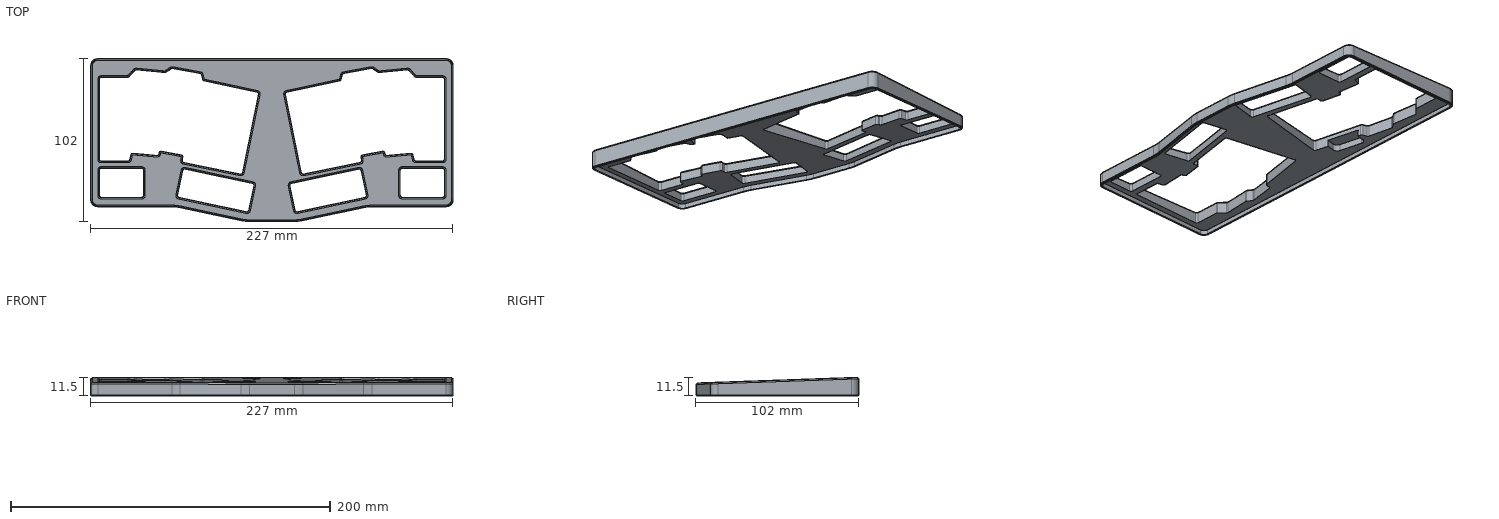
import cadquery as cq
import math

length = 227.0
depth = 102.0
overall_height = 11.5
top_slope = 2.0
back_y = depth / 2
front_y = -depth / 2

wing_front_y = -41.8
bend_angle = 12.0
nose_half_length = 16.8
bend_half_length = nose_half_length + (wing_front_y - front_y) / math.tan(math.radians(bend_angle))
bend_radius = 25.0
corner_radius = 4.5

top_chamfer = 1.0
bottom_chamfer = 0.5
opening_corner_radius = 1.25

slope_rise = math.tan(math.radians(top_slope))
back_height = overall_height + top_chamfer * slope_rise

side_wall_x = -108.0

main_opening = [
    (side_wall_x, 39.3),
    (-90.0, 39.3),
    (-85.4, 44.0),
    (-66.7, 42.2),
    (-62.7, 45.0),
    (-44.3, 41.5),
    (-43.1, 37.2),
    (-8.2, 29.7),
    (-18.6, -21.5),
    (-56.3, -13.8),
    (-55.6, -9.5),
    (-70.4, -6.8),
    (-71.0, -9.8),
    (-88.0, -8.2),
    (-89.2, -13.2),
    (side_wall_x, -13.2),
]

corner_opening_inner_x = -80.4
corner_opening_back_y = -17.7
corner_opening_front_y = -35.9
corner_opening = [
    (side_wall_x, corner_opening_back_y),
    (corner_opening_inner_x, corner_opening_back_y),
    (corner_opening_inner_x, corner_opening_front_y),
    (side_wall_x, corner_opening_front_y),
]

thumb_length = 45.6
thumb_width = 18.2
thumb_center = (-35.2, -31.5)

cavity_height = 3.0
rim_thickness = 1.4

recess_ceiling = 7.3
recess_length = 22.5
recess_depth = 8.6
recess_front_center = (29.3, 34.3)
recess_corner_radius = 3.2


def base_plate():
    outline = (
        cq.Workplane("XY")
        .moveTo(-length / 2, back_y)
        .lineTo(length / 2, back_y)
        .lineTo(length / 2, wing_front_y)
        .lineTo(bend_half_length, wing_front_y)
        .lineTo(nose_half_length, front_y)
        .lineTo(-nose_half_length, front_y)
        .lineTo(-bend_half_length, wing_front_y)
        .lineTo(-length / 2, wing_front_y)
        .close()
    )
    plate = outline.extrude(back_height)
    plate = plate.edges("|Z and (<X or >X)").fillet(corner_radius)
    inner_half_length = length / 2 - 2 * corner_radius
    bends = cq.selectors.BoxSelector(
        (-inner_half_length, -depth, 0), (inner_half_length, 0, back_height)
    )
    plate = plate.edges("|Z").edges(bends).fillet(bend_radius)
    front_height = back_height - depth * slope_rise
    above_slope = (
        cq.Workplane("YZ")
        .moveTo(back_y, back_height)
        .lineTo(front_y, front_height)
        .lineTo(front_y, back_height)
        .close()
        .extrude(length, both=True)
    )
    return plate.cut(above_slope)


def rounded_prism(outline):
    return outline.extrude(back_height).edges("|Z").fillet(opening_corner_radius)


def left_openings():
    main = rounded_prism(cq.Workplane("XY").polyline(main_opening).close())
    corner = rounded_prism(cq.Workplane("XY").polyline(corner_opening).close())
    thumb = (
        rounded_prism(cq.Workplane("XY").rect(thumb_length, thumb_width))
        .rotate((0, 0, 0), (0, 0, 1), -bend_angle)
        .translate((*thumb_center, 0))
    )
    return [main, corner, thumb]


def underside_cavity():
    return (
        cq.Workplane("XY")
        .add(base_plate().faces("<Z").wires().val())
        .toPending()
        .offset2D(-rim_thickness)
        .extrude(cavity_height)
    )


def cable_recess():
    recess = (
        cq.Workplane("XY")
        .rect(recess_length, 2 * recess_depth)
        .extrude(recess_ceiling)
        .edges("|Z")
        .fillet(recess_corner_radius)
    )
    return recess.rotate((0, 0, 0), (0, 0, 1), bend_angle).translate((*recess_front_center, 0))


plate = base_plate().faces("<Z").edges().chamfer(bottom_chamfer)

for opening in left_openings():
    plate = plate.cut(opening).cut(opening.mirror("YZ"))

plate = plate.faces(">Z").edges().chamfer(top_chamfer)
plate = plate.cut(underside_cavity())
result = plate.cut(cable_recess())